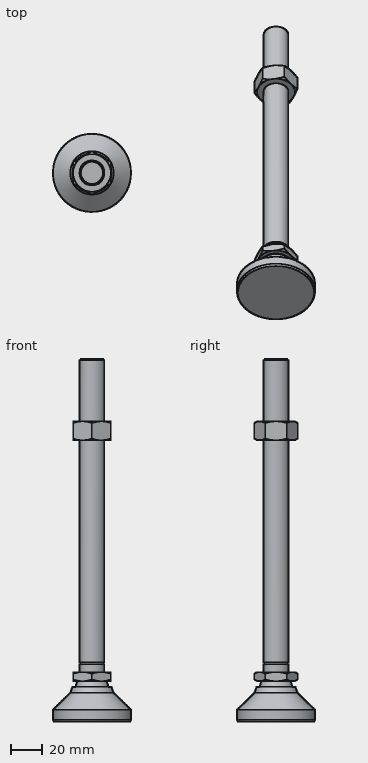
import cadquery as cq
import math

total_height = 232.0

foot_radius = 25.0
foot_rim_height = 7.7
foot_bottom_chamfer_height = 1.5
foot_bottom_chamfer_width = 0.7
cone_top_radius = 14.0
cone_top_z = 18.5
collar_top_radius = 12.5
foot_top_z = 22.3

rod_radius = 8.0
rod_chamfer = 1.0
neck_bottom_radius = 10.7
neck_top_radius = 9.5
groove_bottom_z = 36.7
groove_width = 1.5
groove_depth = 0.5

across_flats = 24.1
flange_bottom_z = 26.0
flange_height = 5.8
nut_bottom_z = 180.0
nut_height = 12.0
hex_chamfer_angle = 30.0


def chamfered_hexagon(bottom_z, height):
    """Hexagonal prism with flats facing +X and -X and its corners turned off at both ends."""
    across_corners = across_flats / math.cos(math.radians(30))
    corner_radius = across_corners / 2
    face_radius = across_flats / 2
    corner_drop = (corner_radius - face_radius) * math.tan(math.radians(hex_chamfer_angle))
    prism = (
        cq.Workplane("XY", origin=(0, 0, bottom_z))
        .polygon(6, across_corners)
        .extrude(height)
        .rotate((0, 0, 0), (0, 0, 1), 30)
    )
    turned_envelope = (
        cq.Workplane("XZ", origin=(0, 0, bottom_z))
        .polyline([
            (0, 0),
            (face_radius, 0),
            (corner_radius, corner_drop),
            (corner_radius, height - corner_drop),
            (face_radius, height),
            (0, height),
        ])
        .close()
        .revolve(360, (0, 0), (0, 1))
    )
    return prism.intersect(turned_envelope)


def make_foot():
    """Round conical foot whose flat top carries the spindle."""
    return (
        cq.Workplane("XZ")
        .polyline([
            (0, 0),
            (foot_radius - foot_bottom_chamfer_width, 0),
            (foot_radius, foot_bottom_chamfer_height),
            (foot_radius, foot_rim_height),
            (cone_top_radius, cone_top_z),
            (collar_top_radius, foot_top_z),
            (0, foot_top_z),
        ])
        .close()
        .revolve(360, (0, 0), (0, 1))
    )


def make_spindle():
    """Long rod with a tapered neck, a hexagonal flange and a narrow groove above the flange."""
    groove_radius = rod_radius - groove_depth
    groove_top_z = groove_bottom_z + groove_width
    turned_rod = (
        cq.Workplane("XZ")
        .polyline([
            (0, foot_top_z),
            (neck_bottom_radius, foot_top_z),
            (neck_top_radius, flange_bottom_z),
            (rod_radius, flange_bottom_z),
            (rod_radius, groove_bottom_z),
            (groove_radius, groove_bottom_z),
            (groove_radius, groove_top_z),
            (rod_radius, groove_top_z),
            (rod_radius, total_height - rod_chamfer),
            (rod_radius - rod_chamfer, total_height),
            (0, total_height),
        ])
        .close()
        .revolve(360, (0, 0), (0, 1))
    )
    return turned_rod.union(chamfered_hexagon(flange_bottom_z, flange_height))


def make_lock_nut():
    """Hexagonal nut whose bore fits the rod."""
    bore = cq.Workplane("XY", origin=(0, 0, nut_bottom_z)).circle(rod_radius).extrude(nut_height)
    return chamfered_hexagon(nut_bottom_z, nut_height).cut(bore)


foot = make_foot()
spindle = make_spindle()
lock_nut = make_lock_nut()

result = cq.Compound.makeCompound([foot.val(), spindle.val(), lock_nut.val()])